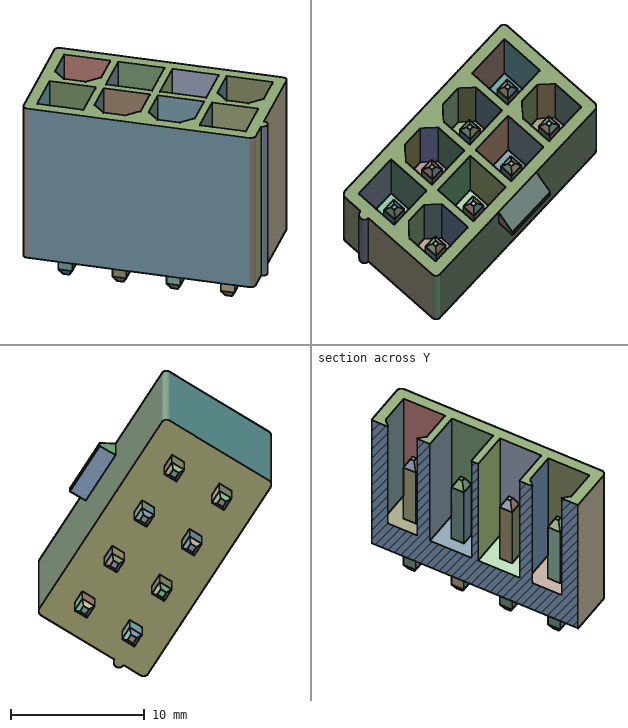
import cadquery as cq

overall_length = 18.4
rib_radius = 0.4
housing_length = overall_length - rib_radius
housing_width = 9.6
housing_height = 12.8
corner_radius = 0.4

columns = 4
rows = 2
pitch = 4.2
cavity_side = 3.59
cavity_depth = 10.01
key_chamfer = 0.94
keyed_cavities = [(1, 0), (2, 0), (0, 1), (3, 1)]

pin_side = 1.09
pin_offset_y = 0.17
pin_below_housing = 2.5
pin_top_recess = 4.0
solder_tip_side = 0.5
solder_tip_length = 0.52
mating_tip_side = 0.33
mating_tip_length = 0.74

latch_length = pitch
latch_reach = 1.4
latch_ramp_drop = 2.3
latch_root_drop = 3.04
latch_lip_drop = 3.16

rib_center_y = -2.48


def cell_center(column, row):
    """Return the XY centre of one cavity in the grid."""
    x = (column - (columns - 1) / 2) * pitch
    y = (row - (rows - 1) / 2) * pitch
    return x, y


def make_housing():
    block = cq.Workplane("XY").box(
        housing_length, housing_width, housing_height, centered=(True, True, False)
    )
    return block.edges("|Z").fillet(corner_radius)


def make_rib():
    """Full-height round bar whose outer half stands proud of the +X face."""
    return (
        cq.Workplane("XY")
        .center(housing_length / 2, rib_center_y)
        .circle(rib_radius)
        .extrude(housing_height)
    )


def make_latch():
    """Wedge that ramps outward from the top edge and ends in a slightly undercut lip."""
    face_y = housing_width / 2
    root_y = face_y - corner_radius
    lip_y = face_y + latch_reach
    return (
        cq.Workplane("YZ")
        .moveTo(root_y, housing_height)
        .lineTo(face_y, housing_height)
        .lineTo(lip_y, housing_height - latch_ramp_drop)
        .lineTo(lip_y, housing_height - latch_lip_drop)
        .lineTo(face_y, housing_height - latch_root_drop)
        .lineTo(root_y, housing_height - latch_root_drop)
        .close()
        .extrude(latch_length / 2, both=True)
    )


def make_cavity(column, row):
    """Square well; a keyed one has its two -Y corners cut off."""
    floor_z = housing_height - cavity_depth
    cavity = cq.Workplane("XY").box(
        cavity_side, cavity_side, cavity_depth, centered=(True, True, False)
    )
    if (column, row) in keyed_cavities:
        cavity = cavity.faces("<Y").edges("|Z").chamfer(key_chamfer)
    x, y = cell_center(column, row)
    return cavity.translate((x, y, floor_z))


def make_taper(base_z, tip_z, tip_side):
    """Square frustum from the full pin section at base_z to the tip at tip_z."""
    return (
        cq.Workplane("XY")
        .workplane(offset=base_z)
        .rect(pin_side, pin_side)
        .workplane(offset=tip_z - base_z)
        .rect(tip_side, tip_side)
        .loft(ruled=True)
    )


def make_pin(column, row):
    bottom_z = -pin_below_housing
    top_z = housing_height - pin_top_recess
    shank_bottom_z = bottom_z + solder_tip_length
    shank_top_z = top_z - mating_tip_length
    shank = (
        cq.Workplane("XY")
        .workplane(offset=shank_bottom_z)
        .rect(pin_side, pin_side)
        .extrude(shank_top_z - shank_bottom_z)
    )
    solder_tip = make_taper(shank_bottom_z, bottom_z, solder_tip_side)
    mating_tip = make_taper(shank_top_z, top_z, mating_tip_side)
    x, y = cell_center(column, row)
    return shank.union(solder_tip).union(mating_tip).translate((x, y + pin_offset_y, 0))


result = make_housing().union(make_rib()).union(make_latch())
for column in range(columns):
    for row in range(rows):
        result = result.cut(make_cavity(column, row))
        result = result.union(make_pin(column, row))